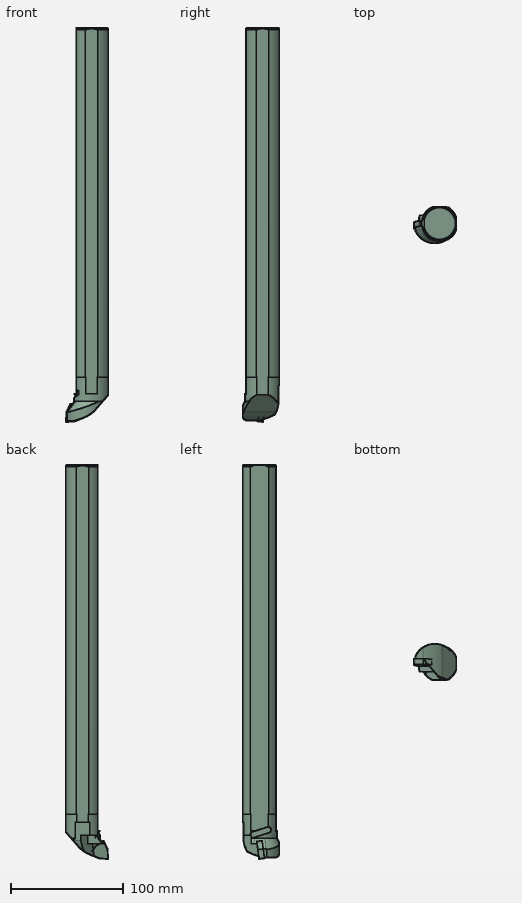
import cadquery as cq
import math


overall_width = 38.0
overall_depth = 32.7

length = 351.5
shank_diameter = 32.0
shank_radius = shank_diameter / 2
width_across_flats = 30.0
flat_distance = width_across_flats / 2
left_flat_distance = 13.7
top_chamfer = 1.8
shank_bottom = 40.0

neck_radius = 15.8
flats_bottom = 25.3
flare_top = 18.5
flare_radius = 24.3
flare_center_x = -3.0
head_left = -21.5
head_left_top = 9.0
slope_top_x = -15.0
head_bottom = 1.5
envelope_radius = 19.0
envelope_center = (-4.2, flat_distance - overall_depth + envelope_radius)

sweep_start_x = -14.8
sweep_middle = (-5.3, 4.5)
sweep_end = (2.0, 9.5)
sweep_top = 24.3

back_relief_y = 14.5
back_relief_top = 32.7
back_arc_top = 17.0
back_arc_middle = (12.5, 10.2)
back_arc_end = (8.8, 3.5)
back_step_y = 4.0
back_toe_y = 2.5

groove_diameter = 5.3
groove_length = 19.5
groove_tilt = -18.0
groove_center = (-1.0, 24.0)
groove_floor_x = -11.2

tip_x = flat_distance - overall_width
tip_y = 0.5
tip_direction = 225.0
inscribed_radius = 6.5
corner_angle = 80.0
insert_corners = 3
nose_radius = 0.8
insert_thickness = 5.0
rake_tilt = 7.5

pocket_wall_x = -10.5
pocket_wall_run = 12.0
pocket_ceiling = 13.7
pocket_side_y = 7.5
pocket_top = 21.0

reach = 42.0
margin = 3.5


def make_shank():
    return (
        cq.Workplane("XY", origin=(0, 0, shank_bottom))
        .circle(shank_radius)
        .extrude(length - shank_bottom)
        .faces(">Z")
        .chamfer(top_chamfer)
    )


def make_head_blank():
    """Neck cylinder with a flare below it that swells out toward the insert."""
    neck = cq.Workplane("XY", origin=(0, 0, flare_top)).circle(neck_radius).extrude(shank_bottom - flare_top)
    flare = (
        cq.Workplane("XY", origin=(0, 0, flare_top))
        .circle(neck_radius)
        .workplane(offset=head_bottom - flare_top)
        .center(flare_center_x, 0)
        .circle(flare_radius)
        .loft(ruled=True)
    )
    envelope = cq.Workplane("XY").center(*envelope_center).circle(envelope_radius).extrude(flare_top)
    return neck.union(flare.intersect(envelope))


def flat_cutter(direction, distance, bottom):
    """Block on the side that the angle `direction` points to, starting `distance` from the axis."""
    return (
        cq.Workplane("XY", origin=(0, 0, bottom))
        .box(reach, 2 * reach, length - bottom, centered=(False, True, False))
        .translate((distance, 0, 0))
        .rotate((0, 0, 0), (0, 0, 1), direction)
    )


def cut_flats(body):
    """The +X and +Y flats run the full length; the -X and -Y flats stop above the flare."""
    flats = [
        (0, flat_distance, 0),
        (90, flat_distance, 0),
        (180, left_flat_distance, flats_bottom),
        (270, flat_distance, flats_bottom),
    ]
    for direction, distance, bottom in flats:
        body = body.cut(flat_cutter(direction, distance, bottom))
    return body


def side_outline():
    """Outline in XZ: the underside sweeps from the right flat down to the insert."""
    return (
        cq.Workplane("XZ", origin=(0, reach, 0))
        .moveTo(head_left, head_bottom)
        .lineTo(sweep_start_x, head_bottom)
        .threePointArc(sweep_middle, sweep_end)
        .lineTo(flat_distance, sweep_top)
        .lineTo(reach, sweep_top)
        .lineTo(reach, length)
        .lineTo(-reach, length)
        .lineTo(-reach, flare_top)
        .lineTo(slope_top_x, flare_top)
        .lineTo(head_left, head_left_top)
        .close()
        .extrude(2 * reach)
    )


def back_relief():
    """Cutter in YZ that thins the +Y side and rounds it in toward the bottom."""
    return (
        cq.Workplane("YZ", origin=(-reach, 0, 0))
        .moveTo(reach, back_relief_top)
        .lineTo(back_relief_y, back_relief_top)
        .lineTo(back_relief_y, back_arc_top)
        .threePointArc(back_arc_middle, back_arc_end)
        .lineTo(back_step_y, back_arc_end[1])
        .lineTo(back_toe_y, head_bottom)
        .lineTo(back_toe_y, -margin)
        .lineTo(reach, -margin)
        .close()
        .extrude(2 * reach)
    )


def make_groove():
    return (
        cq.Workplane("YZ")
        .slot2D(groove_length, groove_diameter)
        .extrude(-reach)
        .rotate((0, 0, 0), (1, 0, 0), groove_tilt)
        .translate((groove_floor_x, *groove_center))
    )


def rake_y(z):
    """Y of the rake face at height z."""
    return tip_y + z * math.tan(math.radians(rake_tilt))


def make_chip_pocket():
    """Space over the rake face, closed above by a stepped ceiling and by a wall that slopes in X."""
    profile = (
        cq.Workplane("YZ", origin=(-reach, 0, 0))
        .polyline([
            (rake_y(-margin), -margin),
            (rake_y(pocket_ceiling), pocket_ceiling),
            (pocket_side_y, pocket_ceiling),
            (pocket_side_y, pocket_top),
            (reach, pocket_top),
            (reach, -margin),
        ])
        .close()
        .extrude(reach + pocket_wall_x + pocket_wall_run)
    )
    plan = (
        cq.Workplane("XY", origin=(0, 0, -margin))
        .polyline([
            (-reach, -margin),
            (pocket_wall_x, -margin),
            (pocket_wall_x, tip_y),
            (pocket_wall_x + pocket_wall_run, back_relief_y),
            (-reach, back_relief_y),
        ])
        .close()
        .extrude(pocket_top + margin)
    )
    return profile.intersect(plan)


def make_insert():
    """Trigon plate with one corner at the lower left, leaning by the rake tilt."""
    half_corner = math.radians(corner_angle / 2)
    corner_radius = inscribed_radius / math.sin(half_corner)
    turn = math.pi / insert_corners
    middle_radius = inscribed_radius / math.cos(turn - (math.pi / 2 - half_corner))
    points = []
    corners = []
    for i in range(insert_corners):
        angle = math.radians(tip_direction) + 2 * i * turn
        corner = (corner_radius * math.cos(angle), corner_radius * math.sin(angle))
        corners.append(corner)
        points.append(corner)
        points.append((middle_radius * math.cos(angle + turn), middle_radius * math.sin(angle + turn)))
    plate = cq.Workplane("XZ").polyline(points).close().extrude(insert_thickness)
    for x, z in corners:
        corner_edge = cq.selectors.NearestToPointSelector((x, insert_thickness / 2, z))
        plate = plate.edges("|Y").edges(corner_edge).fillet(nose_radius)
    nose_reach = (inscribed_radius - nose_radius) / math.sin(half_corner) * math.sqrt(0.5) + nose_radius
    return (
        plate.translate((nose_reach, 0, nose_reach))
        .rotate((0, 0, 0), (1, 0, 0), -rake_tilt)
        .translate((tip_x, tip_y, 0))
    )


insert = make_insert()

head = make_head_blank().intersect(side_outline())
holder = cut_flats(make_shank().union(head))
holder = holder.cut(back_relief()).cut(make_groove()).cut(make_chip_pocket()).cut(insert)

result = cq.Compound.makeCompound([holder.val(), insert.val()])